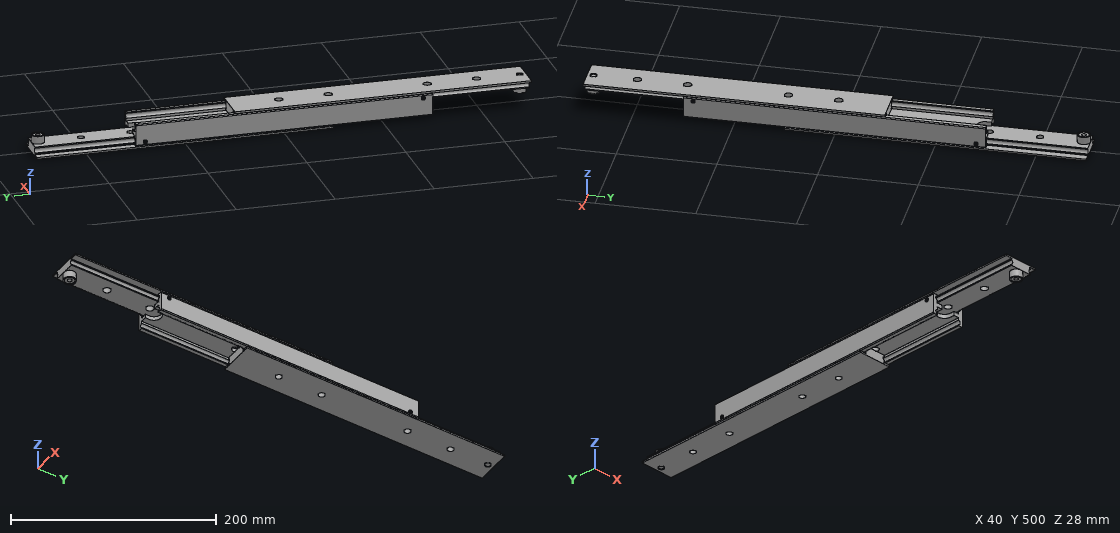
import cadquery as cq
import math


slide_width = 40.0
slide_height = 28.0
rail_length = 300.0
member_length = 300.0
rail_travel = 100.0

half_width = slide_width / 2
half_height = slide_height / 2

ball_radius = 2.7
ball_x = 13.9
ball_z = -7.5

rail_height = 10.2
plate_thickness = 2.0
head_half_width = 12.9
neck_half_width = 12.5
neck_shoulder_height = 0.8
rail_top = rail_height - half_height
plate_top = plate_thickness - half_height

lower_hole_diameter = 6.8
upper_hole_diameter = 8.0
access_hole_diameter = upper_hole_diameter
mount_hole_distances = (50.0, 100.0, 200.0, 250.0)

stop_diameter = 13.0
stop_height = 7.8
stop_recess_diameter = 10.5
stop_recess_depth = 0.5
stop_socket_diameter = 4.6
stop_socket_depth = 1.5
stop_mark_diameter = 6.5
stop_mark_depth = 1.0

member_half_height = 11.25
member_chamfer = 1.0
web_thickness = 4.5
lip_half_opening = 14.6
notch_width = 16.5
notch_depth = 13.0
access_hole_y = -50.0

screw_diameter = 4.0
screw_tip_x = 12.4
screw_tip_chamfer = 1.4
screw_from_end = 9.5
screw_recess = 0.5
screw_socket_diameter = 2.0
screw_socket_depth = 2.0


def raceway_half_chord(x):
    """Half height of the raceway circle where it crosses the vertical line at x."""
    return math.sqrt(ball_radius**2 - (x - ball_x)**2)


def rail_half_profile():
    """Right half of the lower rail section, from the bottom centre to the top centre."""
    chord = raceway_half_chord(head_half_width)
    return (
        cq.Workplane("XZ")
        .moveTo(0, -half_height)
        .lineTo(half_width, -half_height)
        .lineTo(half_width, plate_top)
        .lineTo(neck_half_width, plate_top)
        .lineTo(neck_half_width, plate_top + neck_shoulder_height)
        .lineTo(head_half_width, ball_z - chord)
        .threePointArc((ball_x - ball_radius, ball_z), (head_half_width, ball_z + chord))
        .lineTo(head_half_width, rail_top)
        .lineTo(0, rail_top)
        .close()
    )


def disc(y, z, diameter, height):
    """Upright cylinder on the slide centreline, with its base at (y, z)."""
    return cq.Workplane("XY", origin=(0, y, z)).circle(diameter / 2).extrude(height)


def add_end_stop(rail, outer_end):
    """Stop boss flush with the rail end, dished on top, with a shallow mark in the plate below it."""
    stop_y = outer_end - stop_diameter / 2
    recess_floor = rail_top + stop_height - stop_recess_depth
    stop = disc(stop_y, rail_top, stop_diameter, stop_height)
    recess = disc(stop_y, recess_floor, stop_recess_diameter, stop_recess_depth)
    socket = cq.Workplane(obj=cq.Solid.makeCone(
        stop_socket_diameter / 2, 0, stop_socket_depth,
        pnt=cq.Vector(0, stop_y, recess_floor), dir=cq.Vector(0, 0, -1),
    ))
    mark = disc(stop_y, -half_height, stop_mark_diameter, stop_mark_depth)
    return rail.union(stop).cut(recess).cut(socket).cut(mark)


def make_rail(hole_diameter):
    """Rail in the lower position, with its mounting plate at the bottom, extended toward +Y."""
    inner_end = rail_travel - member_length / 2
    half = rail_half_profile().extrude(-rail_length).translate((0, inner_end, 0))
    rail = half.union(half.mirror("YZ"))
    for distance in mount_hole_distances:
        rail = rail.cut(disc(inner_end + distance, -half_height, hole_diameter, rail_height))
    return add_end_stop(rail, inner_end + rail_length)


def member_quarter_profile():
    """Lower right quarter of the member section, walked from the centre."""
    chord = raceway_half_chord(lip_half_opening)
    return (
        cq.Workplane("XZ")
        .moveTo(0, 0)
        .lineTo(half_width, 0)
        .lineTo(half_width, member_chamfer - member_half_height)
        .lineTo(half_width - member_chamfer, -member_half_height)
        .lineTo(lip_half_opening, -member_half_height)
        .lineTo(lip_half_opening, ball_z - chord)
        .threePointArc((ball_x + ball_radius, ball_z), (lip_half_opening, ball_z + chord))
        .lineTo(lip_half_opening, -web_thickness / 2)
        .lineTo(0, -web_thickness / 2)
        .close()
    )


def add_retaining_screw(member, side, y, z):
    """Add a recessed socket screw to the side wall, its tip standing in the raceway."""
    inward = cq.Vector(-side, 0, 0)

    def plane_at(x):
        return cq.Workplane(cq.Plane(origin=(side * x, y, z), xDir=(0, 1, 0), normal=inward))

    head_x = half_width - screw_recess
    shank = plane_at(head_x).circle(screw_diameter / 2).extrude(head_x - screw_tip_x)
    shank = shank.faces(">X" if side < 0 else "<X").chamfer(screw_tip_chamfer)
    recess = plane_at(half_width).circle(screw_diameter / 2).extrude(screw_recess)
    socket = plane_at(head_x).circle(screw_socket_diameter / 2).extrude(screw_socket_depth)
    return member.union(shank).cut(recess).cut(socket)


def cut_end_notch(member, end):
    """Round-bottomed notch in the web at one end of the member (end is +1 or -1 along Y)."""
    radius = notch_width / 2
    centre_y = end * (member_length / 2 - notch_depth + radius)
    round_end = disc(centre_y, -web_thickness / 2, notch_width, web_thickness)
    straight = (
        cq.Workplane("XY", origin=(0, centre_y + end * radius, 0))
        .box(notch_width, notch_width, web_thickness)
    )
    return member.cut(round_end).cut(straight)


def make_member():
    """H-shaped member with end notches, a web access hole and ball retaining screws."""
    quarter = member_quarter_profile().extrude(member_length / 2, both=True)
    lower = quarter.union(quarter.mirror("YZ"))
    member = lower.union(lower.mirror("XY"))
    member = member.cut(disc(access_hole_y, -web_thickness / 2, access_hole_diameter, web_thickness))

    screw_y = member_length / 2 - screw_from_end
    for end in (-1, 1):
        member = cut_end_notch(member, end)
        for side in (-1, 1):
            member = add_retaining_screw(member, side, end * screw_y, end * ball_z)
    return member


lower_rail = make_rail(lower_hole_diameter)
upper_rail = make_rail(upper_hole_diameter).rotate((0, 0, 0), (1, 0, 0), 180)
member = make_member()

result = cq.Compound.makeCompound([lower_rail.val(), upper_rail.val(), member.val()])